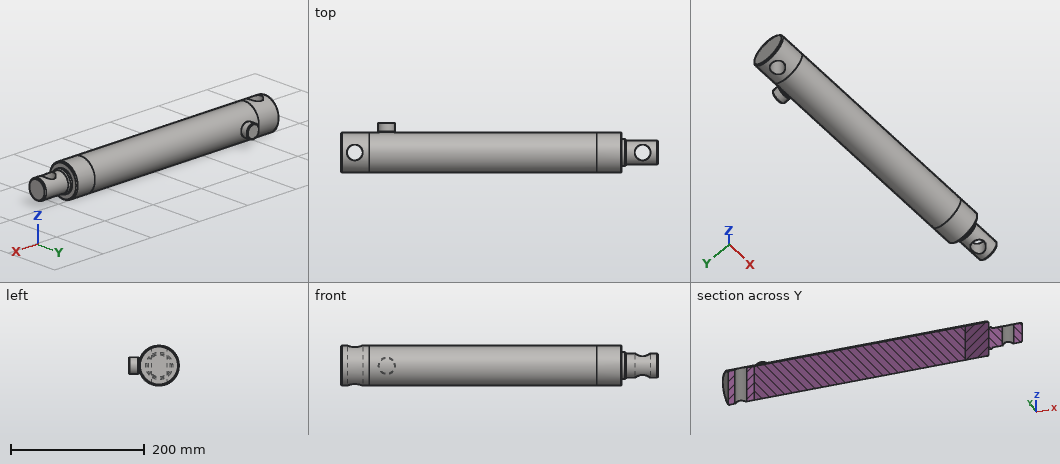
import cadquery as cq

overall_length = 474.0
body_diameter = 60.0
body_radius = body_diameter / 2
edge_chamfer = 2.0

cap_end = 42.5
barrel_end = 382.5
gland_end = 420.0

shoulder_diameter = 41.0
rod_diameter = 36.5
shoulder_end = 423.8
taper_end = 426.5

pin_hole_diameter = 23.0
cap_hole_x = 21.0
rod_hole_x = 451.0

port_x = 68.3
port_diameter = 25.5
port_top = 75.0 - body_radius
port_chamfer = 1.5


def cylinder_along_x(start, end, diameter):
    """Solid cylinder on the X axis between two stations."""
    return cq.Workplane("YZ", origin=(start, 0, 0)).circle(diameter / 2).extrude(end - start)


def pin_hole(x):
    """Vertical cutter running right through the cylinder."""
    cutter = cq.Workplane("XY", origin=(x, 0, -body_radius)).circle(pin_hole_diameter / 2)
    return cutter.extrude(body_diameter)


def make_cap():
    """Closed end with a chamfered rim and a pin hole."""
    cap = cylinder_along_x(0, cap_end, body_diameter).faces("<X").chamfer(edge_chamfer)
    return cap.cut(pin_hole(cap_hole_x))


def make_barrel():
    """Plain middle length of the cylinder."""
    return cylinder_along_x(cap_end, barrel_end, body_diameter)


def make_gland():
    """Front end piece with a chamfered rim."""
    gland = cylinder_along_x(barrel_end, gland_end, body_diameter)
    return gland.faces(">X").chamfer(edge_chamfer)


def make_rod():
    """Revolved rod end with a tapered shoulder and a pin hole."""
    profile = [
        (gland_end, 0),
        (gland_end, shoulder_diameter / 2),
        (shoulder_end, shoulder_diameter / 2),
        (taper_end, rod_diameter / 2),
        (overall_length - edge_chamfer, rod_diameter / 2),
        (overall_length, rod_diameter / 2 - edge_chamfer),
        (overall_length, 0),
    ]
    rod = cq.Workplane("XY").polyline(profile).close().revolve(360, (0, 0, 0), (1, 0, 0))
    return rod.cut(pin_hole(rod_hole_x))


def make_port():
    """Round boss standing on the barrel, chamfered at both ends."""
    port = cq.Workplane("XZ", origin=(port_x, body_radius, 0)).circle(port_diameter / 2)
    return port.extrude(body_radius - port_top).faces("<Y or >Y").chamfer(port_chamfer)


cap = make_cap()
barrel = make_barrel()
gland = make_gland()
rod = make_rod()
port = make_port()

result = cq.Compound.makeCompound([cap.val(), barrel.val(), gland.val(), rod.val(), port.val()])